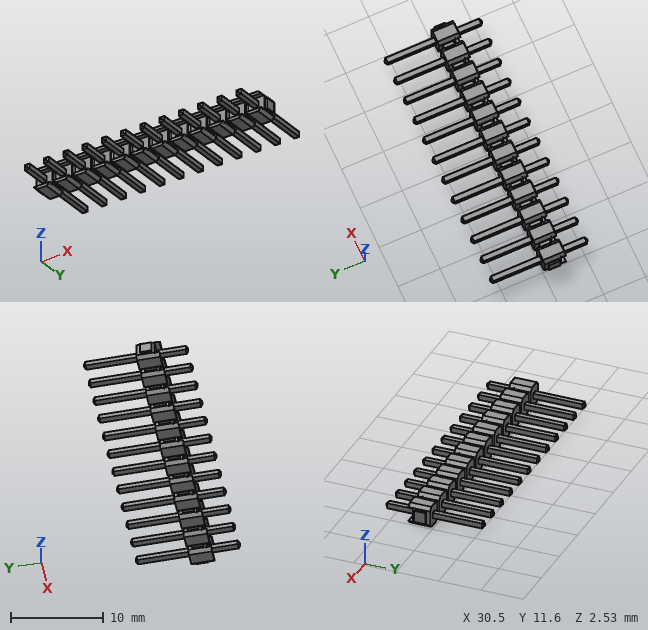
import cadquery as cq

row_length = 30.48
pin_count = 12
pitch = row_length / pin_count

body_width = 2.07
body_height = 2.53
body_depth = 2.55
corner_chamfer = 0.4
flange_thickness = corner_chamfer
recess_depth = 0.55

bar_height = 1.37
bar_depth = 1.28
bar_setback = 0.45

pin_size = 0.65
pin_length = 11.55
pin_front_reach = 3.0
tip_chamfer = 0.2

body_front = -body_depth / 2
body_back = body_depth / 2
pin_front = body_front - pin_front_reach


def box_from_front(width, depth, height, front):
    """Box centred on X and Z, running back along Y from its front face."""
    block = cq.Workplane("XY").box(width, depth, height, centered=(True, False, True))
    return block.translate((0, front, 0))


def make_body():
    octagon = (
        box_from_front(body_width, body_depth, body_height, body_front)
        .edges("|Y")
        .chamfer(corner_chamfer)
    )
    recess_height = body_height - 2 * flange_thickness
    recess = box_from_front(body_width, recess_depth, recess_height, body_front)
    return octagon.cut(recess)


def make_pin():
    pin = box_from_front(pin_size, pin_length, pin_size, pin_front)
    return pin.faces("<Y or >Y").chamfer(tip_chamfer)


def make_bar():
    bar_front = body_back - bar_setback - bar_depth
    return box_from_front(row_length, bar_depth, bar_height, bar_front)


position = make_body().union(make_pin())
result = make_bar()
for index in range(pin_count):
    x = (index - (pin_count - 1) / 2) * pitch
    result = result.union(position.translate((x, 0, 0)))